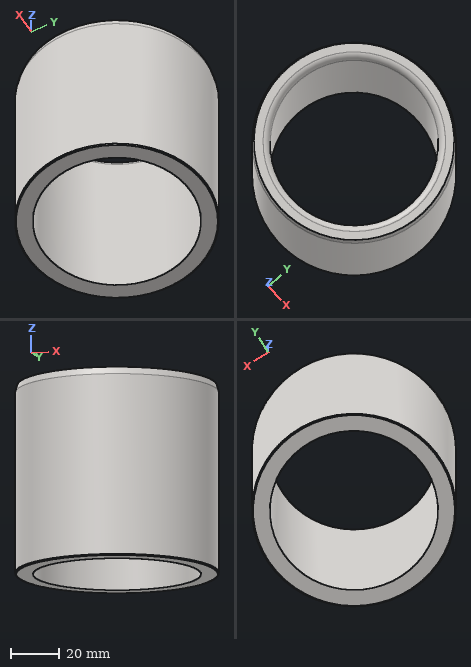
import cadquery as cq
import math

outer_diameter = 85.0
bore_diameter = 70.0
height = 80.0
lead_in_height = 3.0
lead_in_angle = 15.0
bore_edge_radius = 3.0
bottom_chamfer = 0.5

outer_radius = outer_diameter / 2
bore_radius = bore_diameter / 2
lead_in_width = lead_in_height * math.tan(math.radians(lead_in_angle))


def bushing_half_section():
    """Half section in the XZ plane, from the bore wall out to the outer wall."""
    arc_center_x = bore_radius + bore_edge_radius
    arc_center_z = height - bore_edge_radius
    arc_offset = bore_edge_radius * math.sqrt(0.5)
    return (
        cq.Workplane("XZ")
        .moveTo(bore_radius, 0)
        .lineTo(outer_radius - bottom_chamfer, 0)
        .lineTo(outer_radius, bottom_chamfer)
        .lineTo(outer_radius, height - lead_in_height)
        .lineTo(outer_radius - lead_in_width, height)
        .lineTo(arc_center_x, height)
        .threePointArc(
            (arc_center_x - arc_offset, arc_center_z + arc_offset),
            (bore_radius, arc_center_z),
        )
        .close()
    )


result = bushing_half_section().revolve(360, (0, 0, 0), (0, 1, 0))